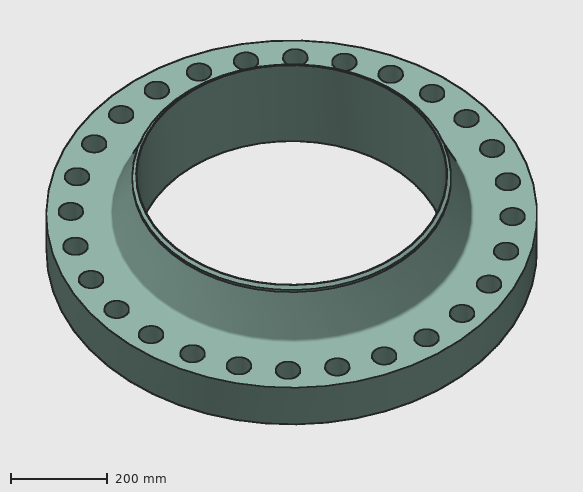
import cadquery as cq
import math

flange_diameter = 1016.0
flange_thickness = 107.95
overall_height = 222.25

bore_diameter = 641.35
pipe_diameter = 660.4
hub_base_diameter = 747.7
hub_fillet_radius = 8.0

bevel_angle = 37.5
land_width = 1.6
pipe_collar_height = 6.5

bolt_count = 28
bolt_circle_diameter = 914.4
bolt_hole_diameter = 50.8

flange_radius = flange_diameter / 2
bore_radius = bore_diameter / 2
pipe_radius = pipe_diameter / 2
hub_base_radius = hub_base_diameter / 2
land_radius = bore_radius + land_width
bevel_height = (pipe_radius - land_radius) * math.tan(math.radians(bevel_angle))
collar_top = overall_height - bevel_height
collar_bottom = collar_top - pipe_collar_height


def make_flange_body():
    """Revolve the flange, tapered hub, collar and weld bevel about Z."""
    profile = (
        cq.Workplane("XZ")
        .moveTo(bore_radius, 0)
        .lineTo(flange_radius, 0)
        .lineTo(flange_radius, flange_thickness)
        .lineTo(hub_base_radius, flange_thickness)
        .lineTo(pipe_radius, collar_bottom)
        .lineTo(pipe_radius, collar_top)
        .lineTo(land_radius, overall_height)
        .lineTo(bore_radius, overall_height)
        .close()
    )
    return profile.revolve(360, (0, 0, 0), (0, 1, 0))


def fillet_hub_base(body):
    """Round the inside corner where the hub meets the flange face."""
    search_margin = 1.0
    hub_corner = cq.selectors.BoxSelector(
        (-hub_base_diameter, -hub_base_diameter, flange_thickness - search_margin),
        (hub_base_diameter, hub_base_diameter, flange_thickness + search_margin),
        boundingbox=True,
    )
    inner_edge = body.edges(hub_corner).edges(cq.selectors.RadiusNthSelector(0))
    return inner_edge.fillet(hub_fillet_radius)


def drill_bolt_holes(body):
    """Drill the bolt circle through the flange, first hole on +X."""
    holes = (
        cq.Workplane("XY")
        .polarArray(bolt_circle_diameter / 2, 0, 360, bolt_count)
        .circle(bolt_hole_diameter / 2)
        .extrude(flange_thickness)
    )
    return body.cut(holes)


result = drill_bolt_holes(fillet_hub_base(make_flange_body()))